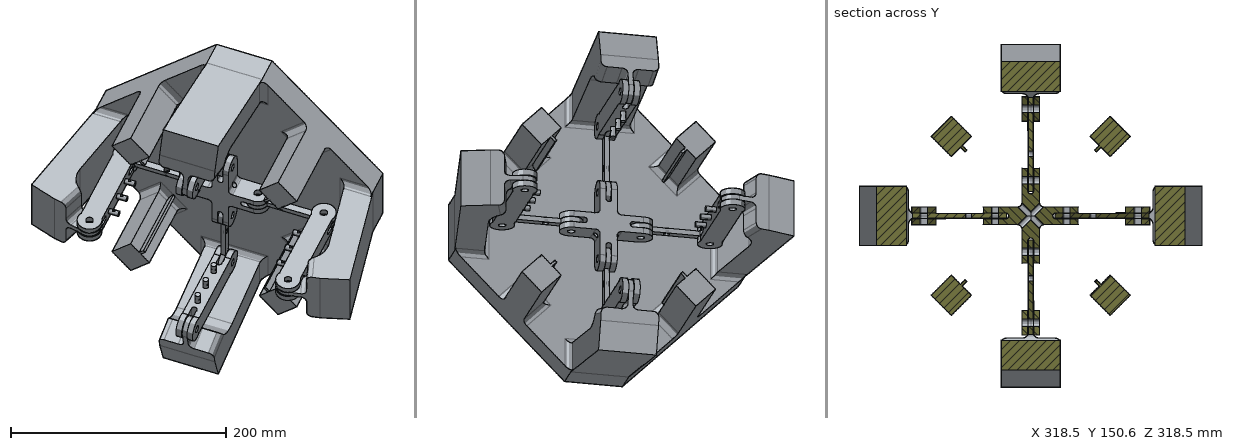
import cadquery as cq
import math

FINGER_COUNT = 4
QUARTER_TURN = 90
EIGHTH_TURN = QUARTER_TURN / 2

PICK_SLACK = 0.1

PLATE_THICKNESS = 25.0
PLATE_FLAT_RADIUS = 138.6
FINGER_WIDTH = 55.25
FOOT_FILLET = 5.8
PLATE_SIDE_RADIUS = (PLATE_FLAT_RADIUS + FINGER_WIDTH / 2) / math.sqrt(2)

POST_SIZE = 26.5
POST_INNER = PLATE_SIDE_RADIUS - POST_SIZE
POST_END_DEPTH = 100.0
RIB_WIDTH = 2.5
RIB_HEIGHT = 6.0

PIVOT_RADIUS = 99.3
HUB_PIVOT_RADIUS = 33.2
UPPER_PIVOT_DEPTH = 49.6
LOWER_PIVOT_DEPTH = 139.1
PIVOT_HOLE = 6.85
SLOT_WIDTH = 5.25
TONGUE_THICKNESS = 4.75

FINGER_TIP_RADIUS = 159.255
FINGER_TIP_DEPTH = 134.2
FINGER_LEAN = math.atan2(FINGER_TIP_RADIUS - PLATE_FLAT_RADIUS, FINGER_TIP_DEPTH - PLATE_THICKNESS)
FINGER_THICKNESS = FINGER_WIDTH / 2
INNER_WALL_START = PLATE_FLAT_RADIUS - FINGER_THICKNESS / math.cos(FINGER_LEAN)
TIP_KINK_RADIUS = 133.0
TIP_KINK_DEPTH = 142.8
INNER_ARC_RADIUS = 23.1
INNER_ARC_DEEPEST = 127.1
LUG_RADIUS = 10.45
LUG_FACE_END_RADIUS = 103.4
LUG_FILLET = 5.5
FLANGE_END_RADIUS = 114.4
FLANGE_END_DEPTH = 127.0
FLANGE_LEAN = math.radians(18)

LINK_THICKNESS = 16.6
LINK_WIDTH = 20.5
LINK_EYE_RADIUS = 11.5
LINK_SLOT_REACH = 16.2
PEG_DIAMETER = 5.14
PEG_LENGTH = 9.8
PEG_HOLE_DISTANCE = 4.4
PEG_HOLE = 2.21
PEG_COUNT = 3
PEG_SPACING = 20.0
MIDDLE_PEG_DEPTH = 95.4
PEG_OFFSET = 0.5

HUB_EYE_RADIUS = 11.1
HUB_ARM_WIDTH = 16.5
HUB_SLOT_REACH = 12.6
HUB_CORNER_FILLET = 4.2
HUB_DIAGONAL_HOLE = 5.25

ROD_EYE_RADIUS = 11.0
ROD_WIDTH = 6.85
ROD_HOLE = 5.25
ROD_HOLE_RADIUS = 57.8


def around(body, first_angle=0):
    """Four copies of a body, a quarter turn apart about the Y axis."""
    return [
        body.rotate((0, 0, 0), (0, 1, 0), first_angle + QUARTER_TURN * i)
        for i in range(FINGER_COUNT)
    ]


def slab(thickness):
    """A plate blank with the outline of the palm."""
    across = 2 * PLATE_SIDE_RADIUS
    square = cq.Workplane("XZ").rect(across, across).extrude(thickness)
    square = square.rotate((0, 0, 0), (0, 1, 0), EIGHTH_TURN)
    flats = cq.Workplane("XZ").rect(2 * PLATE_FLAT_RADIUS, 2 * PLATE_FLAT_RADIUS).extrude(thickness)
    return square.intersect(flats)


def disc(radius, thickness, centre, depth):
    """A disc with its axis along Z, centred on Z = 0."""
    return cq.Workplane("XY").center(centre, -depth).circle(radius).extrude(thickness / 2, both=True)


def block(inner, outer, near, far, thickness):
    """A box from radius inner to outer and depth near to far, centred on Z = 0."""
    return (
        cq.Workplane("XY")
        .center((inner + outer) / 2, -(near + far) / 2)
        .rect(outer - inner, far - near)
        .extrude(thickness / 2, both=True)
    )


def slot(closed_end, open_end, length):
    """A slot cutter along X with a half-round closed end; it runs through the whole depth."""
    straight_start = closed_end + SLOT_WIDTH / 2
    straight = (
        cq.Workplane("XZ")
        .center((straight_start + open_end) / 2, 0)
        .rect(open_end - straight_start, SLOT_WIDTH)
        .extrude(length)
    )
    return straight.union(cq.Workplane("XZ").center(straight_start, 0).circle(SLOT_WIDTH / 2).extrude(length))


def filleted_foot(column, inner, outer, width):
    """The base of a column, filleted to the plate on its inner side and both flanks."""
    margin = 2 * FOOT_FILLET
    base = block(inner - margin, outer, 0, PLATE_THICKNESS, width + 2 * margin)
    foot = base.union(column)
    on_plate = cq.selectors.BoxSelector(
        (inner - PICK_SLACK, -PLATE_THICKNESS - PICK_SLACK, -width / 2 - PICK_SLACK),
        (outer + PICK_SLACK, -PLATE_THICKNESS + PICK_SLACK, width / 2 + PICK_SLACK),
    )
    foot = foot.edges(on_plate).fillet(FOOT_FILLET)
    return foot.intersect(block(inner - margin, outer, 0, PLATE_THICKNESS + FOOT_FILLET, width + 2 * margin))


def lean_shift(depth):
    """How far a finger wall has moved outward at this depth since leaving the plate."""
    return (depth - PLATE_THICKNESS) * math.tan(FINGER_LEAN)


def finger_blank():
    """The finger's side outline across its whole width, reaching to the lower pivot."""
    arc_centre_depth = INNER_ARC_DEEPEST - INNER_ARC_RADIUS
    wall_at_centre = INNER_WALL_START + lean_shift(arc_centre_depth)
    arc_centre = wall_at_centre - INNER_ARC_RADIUS / math.cos(FINGER_LEAN)
    wall_end = (
        arc_centre + INNER_ARC_RADIUS * math.cos(FINGER_LEAN),
        -arc_centre_depth + INNER_ARC_RADIUS * math.sin(FINGER_LEAN),
    )
    arc_middle = (
        arc_centre + INNER_ARC_RADIUS * math.cos(math.pi / 4),
        -arc_centre_depth - INNER_ARC_RADIUS * math.sin(math.pi / 4),
    )
    arc_end = (arc_centre, -INNER_ARC_DEEPEST)
    lug_face_end_depth = LOWER_PIVOT_DEPTH + math.sqrt(
        LUG_RADIUS**2 - (LUG_FACE_END_RADIUS - PIVOT_RADIUS) ** 2
    )
    return (
        cq.Workplane("XY")
        .moveTo(PLATE_FLAT_RADIUS, -PLATE_THICKNESS)
        .lineTo(FINGER_TIP_RADIUS, -FINGER_TIP_DEPTH)
        .lineTo(TIP_KINK_RADIUS, -TIP_KINK_DEPTH)
        .lineTo(LUG_FACE_END_RADIUS, -lug_face_end_depth)
        .threePointArc(
            (PIVOT_RADIUS - LUG_RADIUS, -LOWER_PIVOT_DEPTH),
            (PIVOT_RADIUS, -LOWER_PIVOT_DEPTH + LUG_RADIUS),
        )
        .lineTo(*arc_end)
        .threePointArc(arc_middle, wall_end)
        .lineTo(INNER_WALL_START, -PLATE_THICKNESS)
        .close()
        .extrude(FINGER_WIDTH / 2, both=True)
    )


def lug_relief():
    """Cutter for one side of the lug: leaves a thin filleted web and rounds the finger's edge."""
    reach = 60.0
    half_web = TONGUE_THICKNESS / 2
    half_width = FINGER_WIDTH / 2
    r = LUG_FILLET
    diagonal = r * math.sqrt(0.5)
    along = cq.Plane(
        origin=(FLANGE_END_RADIUS, -FLANGE_END_DEPTH, 0),
        xDir=(-math.cos(FLANGE_LEAN), -math.sin(FLANGE_LEAN), 0),
        normal=(math.sin(FLANGE_LEAN), -math.cos(FLANGE_LEAN), 0),
    )
    return (
        cq.Workplane(along)
        .moveTo(reach, half_web)
        .lineTo(r, half_web)
        .threePointArc((r - diagonal, half_web + r - diagonal), (0, half_web + r))
        .lineTo(0, half_width - r)
        .threePointArc((diagonal - r, half_width - r + diagonal), (-r, half_width))
        .lineTo(-r, half_width + r)
        .lineTo(reach, half_width + r)
        .close()
        .extrude(reach / 2, both=True)
    )


def make_finger():
    relief = lug_relief()
    finger = finger_blank().cut(relief).cut(relief.mirror("XY"))
    return finger.cut(disc(PIVOT_HOLE / 2, FINGER_WIDTH, PIVOT_RADIUS, LOWER_PIVOT_DEPTH))


def finger_foot():
    outer = PLATE_FLAT_RADIUS + FINGER_WIDTH
    far = PLATE_THICKNESS + 2 * FOOT_FILLET
    column = (
        cq.Workplane("XY")
        .moveTo(INNER_WALL_START, -PLATE_THICKNESS)
        .lineTo(outer, -PLATE_THICKNESS)
        .lineTo(outer, -far)
        .lineTo(INNER_WALL_START + lean_shift(far), -far)
        .close()
        .extrude(FINGER_WIDTH / 2, both=True)
    )
    return filleted_foot(column, INNER_WALL_START, outer, FINGER_WIDTH)


def make_post():
    post = block(POST_INNER, PLATE_SIDE_RADIUS, 0, POST_END_DEPTH, POST_SIZE)
    rib = block(POST_INNER - RIB_HEIGHT, PLATE_SIDE_RADIUS, 0, POST_END_DEPTH, RIB_WIDTH)
    return post.union(rib)


def post_foot():
    column = block(POST_INNER, PLATE_SIDE_RADIUS, PLATE_THICKNESS, POST_END_DEPTH, POST_SIZE)
    return filleted_foot(column, POST_INNER, PLATE_SIDE_RADIUS, POST_SIZE)


def make_palm():
    feet_limit = slab(PLATE_THICKNESS + FOOT_FILLET)
    palm = slab(PLATE_THICKNESS)
    for foot in around(finger_foot()) + around(post_foot(), EIGHTH_TURN):
        palm = palm.union(foot.intersect(feet_limit))
    for upright in around(make_finger()) + around(make_post(), EIGHTH_TURN):
        palm = palm.union(upright)
    return palm


def make_hub():
    bar = block(
        -HUB_PIVOT_RADIUS,
        HUB_PIVOT_RADIUS,
        UPPER_PIVOT_DEPTH - HUB_EYE_RADIUS,
        UPPER_PIVOT_DEPTH + HUB_EYE_RADIUS,
        HUB_ARM_WIDTH,
    )
    blank = bar.union(bar.rotate((0, 0, 0), (0, 1, 0), QUARTER_TURN))
    inside = HUB_ARM_WIDTH / 2 + PICK_SLACK
    inner_corners = cq.selectors.BoxSelector((-inside, -LOWER_PIVOT_DEPTH, -inside), (inside, 0, inside))
    hub = blank.edges("|Y").edges(inner_corners).fillet(HUB_CORNER_FILLET)
    diagonal_hole = (
        cq.Workplane("YZ", origin=(0, -UPPER_PIVOT_DEPTH, 0))
        .circle(HUB_DIAGONAL_HOLE / 2)
        .extrude(HUB_ARM_WIDTH, both=True)
    )
    for turn in (EIGHTH_TURN, -EIGHTH_TURN):
        hub = hub.cut(diagonal_hole.rotate((0, 0, 0), (0, 1, 0), turn))
    far = HUB_PIVOT_RADIUS + HUB_EYE_RADIUS
    for eye in around(disc(HUB_EYE_RADIUS, HUB_ARM_WIDTH, HUB_PIVOT_RADIUS, UPPER_PIVOT_DEPTH)):
        hub = hub.union(eye)
    for cutter in around(slot(HUB_PIVOT_RADIUS - HUB_SLOT_REACH, far, 2 * UPPER_PIVOT_DEPTH)):
        hub = hub.cut(cutter)
    for hole in around(disc(PIVOT_HOLE / 2, HUB_ARM_WIDTH, HUB_PIVOT_RADIUS, UPPER_PIVOT_DEPTH)):
        hub = hub.cut(hole)
    return hub


def make_rod():
    rod = block(
        HUB_PIVOT_RADIUS,
        PIVOT_RADIUS,
        UPPER_PIVOT_DEPTH - ROD_WIDTH / 2,
        UPPER_PIVOT_DEPTH + ROD_WIDTH / 2,
        TONGUE_THICKNESS,
    )
    ends = (HUB_PIVOT_RADIUS, PIVOT_RADIUS)
    for end in ends:
        rod = rod.union(disc(ROD_EYE_RADIUS, TONGUE_THICKNESS, end, UPPER_PIVOT_DEPTH))
    for end in ends:
        rod = rod.cut(disc(PIVOT_HOLE / 2, TONGUE_THICKNESS, end, UPPER_PIVOT_DEPTH))
    return rod.cut(disc(ROD_HOLE / 2, TONGUE_THICKNESS, ROD_HOLE_RADIUS, UPPER_PIVOT_DEPTH))


def link_slot(pivot_depth, toward_middle):
    """Cutter for the fork at one end of a link, with a half-round end toward the link's middle."""
    end_depth = pivot_depth + toward_middle * (LINK_SLOT_REACH - SLOT_WIDTH / 2)
    open_depth = pivot_depth - toward_middle * LINK_EYE_RADIUS
    inner = PIVOT_RADIUS - LINK_EYE_RADIUS
    outer = PIVOT_RADIUS + LINK_EYE_RADIUS
    straight = block(inner, outer, min(end_depth, open_depth), max(end_depth, open_depth), SLOT_WIDTH)
    round_end = (
        cq.Workplane("YZ", origin=(inner, -end_depth, 0))
        .circle(SLOT_WIDTH / 2)
        .extrude(outer - inner)
    )
    return straight.union(round_end)


def add_pegs(link):
    inner_face = PIVOT_RADIUS - LINK_WIDTH / 2
    for i in range(PEG_COUNT):
        depth = MIDDLE_PEG_DEPTH + (i - (PEG_COUNT - 1) / 2) * PEG_SPACING
        peg = (
            cq.Workplane("YZ", origin=(inner_face - PEG_LENGTH, -depth, -PEG_OFFSET))
            .circle(PEG_DIAMETER / 2)
            .extrude(PEG_LENGTH + LINK_WIDTH / 2)
        )
        link = link.union(peg).cut(disc(PEG_HOLE / 2, LINK_THICKNESS, inner_face - PEG_HOLE_DISTANCE, depth))
    return link


def make_link():
    link = block(
        PIVOT_RADIUS - LINK_WIDTH / 2,
        PIVOT_RADIUS + LINK_WIDTH / 2,
        UPPER_PIVOT_DEPTH,
        LOWER_PIVOT_DEPTH,
        LINK_THICKNESS,
    )
    ends = ((UPPER_PIVOT_DEPTH, 1), (LOWER_PIVOT_DEPTH, -1))
    for depth, _ in ends:
        link = link.union(disc(LINK_EYE_RADIUS, LINK_THICKNESS, PIVOT_RADIUS, depth))
    for depth, toward_middle in ends:
        link = link.cut(link_slot(depth, toward_middle))
        link = link.cut(disc(PIVOT_HOLE / 2, LINK_THICKNESS, PIVOT_RADIUS, depth))
    return add_pegs(link)


palm = make_palm()
hub = make_hub()
links = around(make_link())
rods = around(make_rod())

result = cq.Compound.makeCompound(
    [palm.val(), hub.val()] + [link.val() for link in links] + [rod.val() for rod in rods]
)